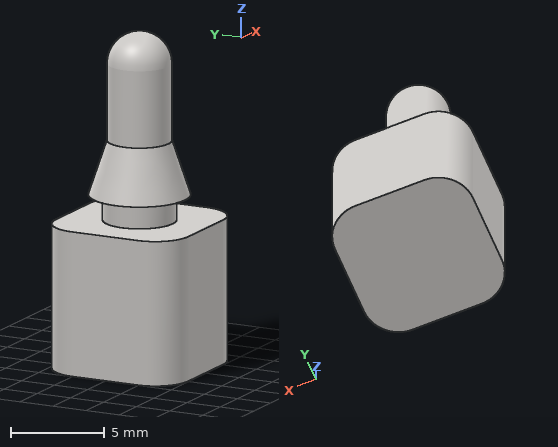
import cadquery as cq

total_height = 18.4
block_side = 8.0
block_height = block_side
corner_radius = 2.0
neck_diameter = 4.0
neck_height = 1.4
barb_diameter = 5.5
barb_height = 3.0
pin_diameter = 3.5

neck_radius = neck_diameter / 2
barb_radius = barb_diameter / 2
pin_radius = pin_diameter / 2
barb_bottom = block_height + neck_height
barb_top = barb_bottom + barb_height
dome_bottom = total_height - pin_radius
dome_mid_offset = pin_radius / 2**0.5


def make_block():
    """Square block with rounded vertical edges."""
    block = cq.Workplane("XY").box(block_side, block_side, block_height, centered=(True, True, False))
    return block.edges("|Z").fillet(corner_radius)


def make_pin():
    """Turned pin: neck, conical barb, straight shank and hemispherical tip."""
    return (
        cq.Workplane("XZ")
        .moveTo(0, block_height)
        .lineTo(neck_radius, block_height)
        .lineTo(neck_radius, barb_bottom)
        .lineTo(barb_radius, barb_bottom)
        .lineTo(pin_radius, barb_top)
        .lineTo(pin_radius, dome_bottom)
        .threePointArc((dome_mid_offset, dome_bottom + dome_mid_offset), (0, total_height))
        .close()
        .revolve(360, (0, 0, 0), (0, 1, 0))
    )


result = make_block().union(make_pin())